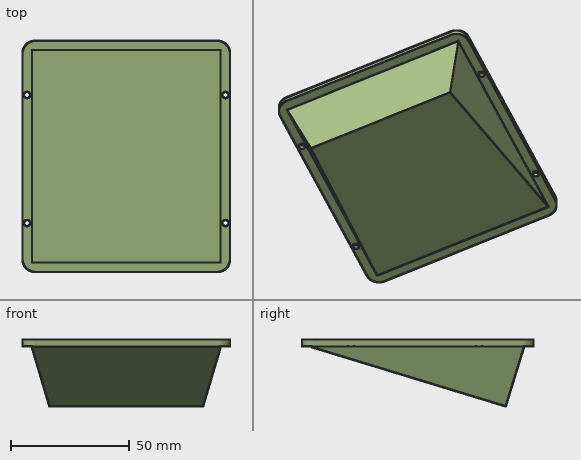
import cadquery as cq

FRAME_WIDTH = 88.0
FRAME_LENGTH = 98.0
FRAME_THICKNESS = 3.0
FRAME_CORNER_RADIUS = 5.6
RIM_WIDTH = 4.0

HOLE_DIAMETER = 2.5
HOLE_Y_POSITIONS = (-28.2, 26.0)

TOTAL_HEIGHT = 28.4
KEEL_LENGTH = 65.1
KEEL_Y = 37.2
LIP_HEIGHT = 0.3

WINDOW_WIDTH = FRAME_WIDTH - 2 * RIM_WIDTH
WINDOW_LENGTH = FRAME_LENGTH - 2 * RIM_WIDTH


def make_frame():
    """Rounded plate with a square-cornered window and four through holes."""
    plate = (
        cq.Workplane("XY")
        .rect(FRAME_WIDTH, FRAME_LENGTH)
        .extrude(FRAME_THICKNESS)
        .edges("|Z")
        .fillet(FRAME_CORNER_RADIUS)
    )
    window = cq.Workplane("XY").rect(WINDOW_WIDTH, WINDOW_LENGTH).extrude(FRAME_THICKNESS)

    hole_x = (FRAME_WIDTH - RIM_WIDTH) / 2
    hole_centres = [(x, y) for x in (-hole_x, hole_x) for y in HOLE_Y_POSITIONS]
    holes = (
        cq.Workplane("XY")
        .pushPoints(hole_centres)
        .circle(HOLE_DIAMETER / 2)
        .extrude(FRAME_THICKNESS)
    )
    return plate.cut(window).cut(holes)


def make_wedge():
    """Shallow rectangular lip with a five-faced wedge under it, ending in the keel edge."""
    lip = cq.Workplane("XY").rect(WINDOW_WIDTH, WINDOW_LENGTH).extrude(-LIP_HEIGHT)

    half_width = WINDOW_WIDTH / 2
    half_length = WINDOW_LENGTH / 2
    keel_z = FRAME_THICKNESS - TOTAL_HEIGHT
    front_left = cq.Vector(-half_width, -half_length, -LIP_HEIGHT)
    front_right = cq.Vector(half_width, -half_length, -LIP_HEIGHT)
    back_left = cq.Vector(-half_width, half_length, -LIP_HEIGHT)
    back_right = cq.Vector(half_width, half_length, -LIP_HEIGHT)
    keel_left = cq.Vector(-KEEL_LENGTH / 2, KEEL_Y, keel_z)
    keel_right = cq.Vector(KEEL_LENGTH / 2, KEEL_Y, keel_z)

    outlines = [
        [front_left, front_right, back_right, back_left],
        [front_left, front_right, keel_right, keel_left],
        [back_left, back_right, keel_right, keel_left],
        [front_left, back_left, keel_left],
        [front_right, back_right, keel_right],
    ]
    faces = [cq.Face.makeFromWires(cq.Wire.makePolygon(points, close=True)) for points in outlines]
    body = cq.Solid.makeSolid(cq.Shell.makeShell(faces))
    return lip.union(cq.Workplane(body))


frame = make_frame()
wedge = make_wedge()

result = cq.Compound.makeCompound([frame.val(), wedge.val()])